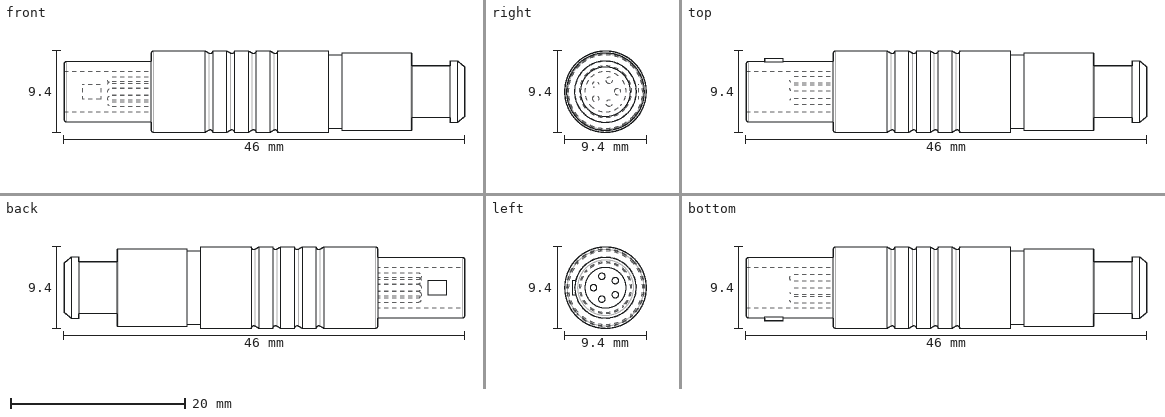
import cadquery as cq
import math

TOTAL_LENGTH = 46.0
NOSE_LENGTH = 10.0
FIRST_GROOVE_END = 17.05
LAST_GROOVE_END = 24.5
NECK_START = 30.35
BARREL_START = 31.9
BARREL_END = 39.95
FLANGE_START = 44.3

NOSE_RADIUS = 3.5
BODY_RADIUS = 4.7
NECK_RADIUS = 4.25
BARREL_RADIUS = 4.45
TAIL_RADIUS = 3.0
FLANGE_RADIUS = 3.55

FRONT_ROUNDING = 0.3
BARREL_ROUNDING = 0.15
FLANGE_CHAMFER_LENGTH = 0.85
FLANGE_CHAMFER_DEPTH = 0.7

GROOVE_COUNT = 4
GROOVE_ROUND = 0.3
GROOVE_RAMP_ANGLE = math.radians(30)

BORE_RADIUS = 2.35
BORE_DEPTH = NOSE_LENGTH
PIN_COUNT = 5
PIN_RADIUS = 0.35
PIN_CIRCLE_RADIUS = 1.4
PIN_LENGTH = BORE_DEPTH / 2

KEY_START = 2.1
KEY_LENGTH = 2.1
KEY_WIDTH = 1.65
KEY_TOP = 3.8


def add_grip_groove(outline, groove_end):
    """Continue the outline along the body surface and through one groove."""
    round_center = groove_end - GROOVE_ROUND
    groove_start = round_center - GROOVE_ROUND / math.sin(GROOVE_RAMP_ANGLE)
    ramp_foot = (
        round_center - GROOVE_ROUND * math.sin(GROOVE_RAMP_ANGLE),
        BODY_RADIUS - GROOVE_ROUND * math.cos(GROOVE_RAMP_ANGLE),
    )
    return (
        outline.lineTo(groove_start, BODY_RADIUS)
        .lineTo(*ramp_foot)
        .tangentArcPoint((groove_end, BODY_RADIUS), relative=False)
    )


def body_of_revolution():
    """Solid turned about the X axis, from the nose face to the cable flange."""
    outline = (
        cq.Workplane("XY")
        .lineTo(0, NOSE_RADIUS - FRONT_ROUNDING)
        .tangentArcPoint((FRONT_ROUNDING, NOSE_RADIUS), relative=False)
        .lineTo(NOSE_LENGTH, NOSE_RADIUS)
        .lineTo(NOSE_LENGTH, BODY_RADIUS - FRONT_ROUNDING)
        .tangentArcPoint((NOSE_LENGTH + FRONT_ROUNDING, BODY_RADIUS), relative=False)
    )
    groove_pitch = (LAST_GROOVE_END - FIRST_GROOVE_END) / (GROOVE_COUNT - 1)
    for index in range(GROOVE_COUNT):
        outline = add_grip_groove(outline, FIRST_GROOVE_END + index * groove_pitch)
    outline = (
        outline.lineTo(NECK_START, BODY_RADIUS)
        .lineTo(NECK_START, NECK_RADIUS)
        .lineTo(BARREL_START, NECK_RADIUS)
        .lineTo(BARREL_START, BARREL_RADIUS)
        .lineTo(BARREL_END - BARREL_ROUNDING, BARREL_RADIUS)
        .tangentArcPoint((BARREL_END, BARREL_RADIUS - BARREL_ROUNDING), relative=False)
        .lineTo(BARREL_END, TAIL_RADIUS)
        .lineTo(FLANGE_START, TAIL_RADIUS)
        .lineTo(FLANGE_START, FLANGE_RADIUS)
        .lineTo(TOTAL_LENGTH - FLANGE_CHAMFER_LENGTH, FLANGE_RADIUS)
        .lineTo(TOTAL_LENGTH, FLANGE_RADIUS - FLANGE_CHAMFER_DEPTH)
        .lineTo(TOTAL_LENGTH, 0)
        .close()
    )
    return outline.revolve(360, (0, 0, 0), (1, 0, 0))


def key():
    """Rectangular block that sinks halfway into the nose wall."""
    key_root = (BORE_RADIUS + NOSE_RADIUS) / 2
    return cq.Workplane("XY").box(
        KEY_LENGTH, KEY_TOP - key_root, KEY_WIDTH, centered=(False, False, True)
    ).translate((KEY_START, key_root, 0))


def socket_bore():
    """Blind round socket, open at the nose face."""
    return cq.Workplane("YZ").circle(BORE_RADIUS).extrude(BORE_DEPTH)


def contact_pin(angle):
    """Round-nosed pin standing on the socket floor, at an angle from +Y about X."""
    nose_center = (
        BORE_DEPTH - PIN_LENGTH + PIN_RADIUS,
        PIN_CIRCLE_RADIUS * math.cos(angle),
        PIN_CIRCLE_RADIUS * math.sin(angle),
    )
    shank = cq.Workplane("YZ", origin=nose_center).circle(PIN_RADIUS).extrude(PIN_LENGTH - PIN_RADIUS)
    nose = cq.Workplane("XY").sphere(PIN_RADIUS).translate(nose_center)
    return shank.union(nose)


result = body_of_revolution().union(key()).cut(socket_bore())
for pin_index in range(PIN_COUNT):
    result = result.union(contact_pin(2 * math.pi * pin_index / PIN_COUNT))